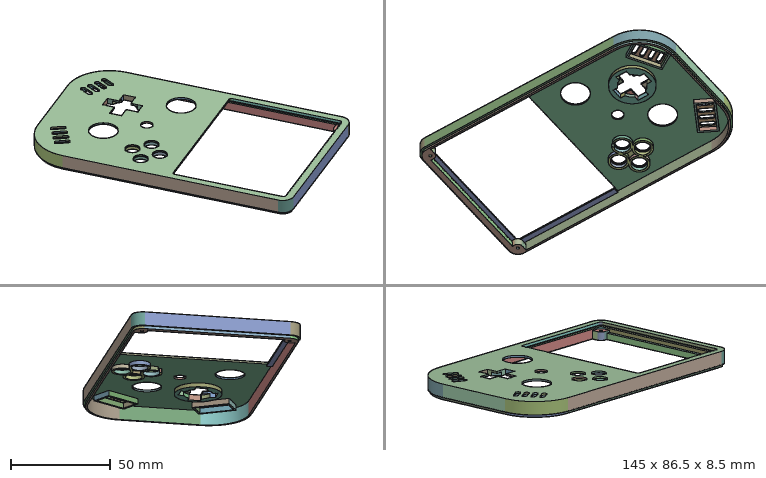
import cadquery as cq
import math

LENGTH = 145.0
WIDTH = 86.5
HEIGHT = 8.5
LEFT_RADIUS = 22.5
RIGHT_RADIUS = 6.0
WALL = 2.0
FACE_THICKNESS = 1.0
STEP_HEIGHT = 1.5
STEP_INSET = 1.0

WINDOW_LEFT = 7.7
WINDOW_MARGIN = 4.0
WINDOW_RADIUS = 1.5
LIP_DEPTH = 1.5
LIP_WIDTH = 0.9
LIP_THICKNESS = 0.7

LEDGE_HEIGHT = 3.3
BOSS_X = 67.0
BOSS_Y = 37.8
BOSS_DIAMETER = 5.2
BOSS_HOLE_DIAMETER = 1.4
BOSS_HEIGHT = 4.5

LEFT_CONTROL_X = -39.9
RIGHT_CONTROL_X = -12.5
STICK_DIAMETER = 15.0
UPPER_STICK_Y = 23.8
LOWER_STICK_Y = -13.2
SMALL_BUTTON_X = -21.6
SMALL_BUTTON_DIAMETER = 6.2
PAD_Y = 13.0
PAD_SPAN = 19.0
PAD_ARM_WIDTH = 6.4
PAD_GUIDE_BORE = 15.0
PAD_GUIDE_DIAMETER = 23.9
BUTTON_COUNT = 4
BUTTON_CENTER_Y = -24.0
BUTTON_OFFSET = 7.4
BUTTON_DIAMETER = 7.5
BUTTON_GUIDE_BORE = 8.4
BUTTON_GUIDE_DIAMETER = 10.7
GUIDE_HEIGHT = 2.0
GUIDE_NOTCH_WIDTH = 2.6
GUIDE_NOTCH_ANGLE = 45.0

SPEAKER_X = -58.5
SPEAKER_Y = 25.1
SPEAKER_ANGLE = 30.0
SLOT_COUNT = 4
SLOT_PITCH = 4.5
SLOT_LENGTH = 8.0
SLOT_WIDTH = 2.5
SPEAKER_POCKET_LENGTH = 9.0
SPEAKER_POCKET_WIDTH = 17.7
SPEAKER_FRAME_WALL = 1.0
SPEAKER_FRAME_HEIGHT = 2.8

FACE_BOTTOM = HEIGHT - FACE_THICKNESS
INNER_RIGHT = LENGTH / 2 - WALL
INNER_Y = WIDTH / 2 - WALL
WINDOW_RIGHT = LENGTH / 2 - WINDOW_MARGIN
WINDOW_Y = WIDTH / 2 - WINDOW_MARGIN
LIP_TOP = HEIGHT - LIP_DEPTH


def box(x_min, x_max, y_min, y_max, z_min, z_max):
    """Axis-aligned block between the given limits."""
    block = cq.Workplane("XY").box(x_max - x_min, y_max - y_min, z_max - z_min, centered=False)
    return block.translate((x_min, y_min, z_min))


def cylinder(x, y, diameter, z_min, z_max):
    """Upright cylinder between two heights."""
    plane = cq.Workplane("XY", origin=(x, y, z_min))
    return plane.circle(diameter / 2).extrude(z_max - z_min)


def body_block(inset, z_min, z_max):
    """Body outline moved inward by inset and extruded between two heights."""
    block = box(
        inset - LENGTH / 2, LENGTH / 2 - inset, inset - WIDTH / 2, WIDTH / 2 - inset, z_min, z_max
    )
    block = block.edges("|Z and <X").fillet(LEFT_RADIUS - inset)
    return block.edges("|Z and >X").fillet(RIGHT_RADIUS - inset)


def make_shell():
    """Hollow body with a stepped lower rim."""
    shell = body_block(0, STEP_HEIGHT, HEIGHT).union(body_block(STEP_INSET, 0, STEP_HEIGHT))
    return shell.cut(body_block(WALL, 0, FACE_BOTTOM))


def make_window():
    """Cutting block for the screen opening, down to the top of the lip."""
    window = box(WINDOW_LEFT, WINDOW_RIGHT, -WINDOW_Y, WINDOW_Y, LIP_TOP, HEIGHT)
    return window.edges("|Z").fillet(WINDOW_RADIUS)


def make_lip_strip():
    """Strip under the face that narrows the window on its right, front and back sides."""
    bottom = LIP_TOP - LIP_THICKNESS
    strip = box(WINDOW_LEFT, INNER_RIGHT, -INNER_Y, INNER_Y, bottom, FACE_BOTTOM)
    opening_y = WINDOW_Y - LIP_WIDTH
    opening = box(WINDOW_LEFT, WINDOW_RIGHT - LIP_WIDTH, -opening_y, opening_y, bottom, FACE_BOTTOM)
    return strip.cut(opening)


def make_boss(side):
    """Screw boss at the right end whose round side faces the window; side is +1 or -1 in Y."""
    radius = BOSS_DIAMETER / 2
    center_y = side * BOSS_Y
    wall_y = side * INNER_Y
    boss = cylinder(BOSS_X, center_y, BOSS_DIAMETER, 0, BOSS_HEIGHT)
    near_y, far_y = sorted((center_y, wall_y))
    boss = boss.union(box(BOSS_X - radius, INNER_RIGHT, near_y, far_y, 0, BOSS_HEIGHT))
    near_y, far_y = sorted((center_y - side * radius, wall_y))
    return boss.union(box(BOSS_X, INNER_RIGHT, near_y, far_y, 0, BOSS_HEIGHT))


def make_pad_cross(z_min):
    """Cutting block for the direction pad, from z_min up through the face."""
    half_span = PAD_SPAN / 2
    half_arm = PAD_ARM_WIDTH / 2
    cross = box(-half_span, half_span, -half_arm, half_arm, z_min, HEIGHT)
    cross = cross.union(box(-half_arm, half_arm, -half_span, half_span, z_min, HEIGHT))
    return cross.translate((LEFT_CONTROL_X, PAD_Y, 0))


def place_speaker(shape, side):
    """Turn a shape to the speaker angle and move it to the speaker on one side in Y."""
    turned = shape.rotate((0, 0, 0), (0, 0, 1), -side * SPEAKER_ANGLE)
    return turned.translate((SPEAKER_X, side * SPEAKER_Y, 0))


def make_speaker_slots():
    """Column of parallel slots through the face, centred on the origin."""
    plane = cq.Workplane("XY", origin=(0, 0, FACE_BOTTOM))
    slots = plane.rarray(1.5, SLOT_PITCH, 1, SLOT_COUNT).slot2D(SLOT_LENGTH, SLOT_WIDTH)
    return slots.extrude(FACE_THICKNESS)


def make_speaker_frame():
    """Rectangular rib under the face that surrounds one group of slots."""
    plane = cq.Workplane("XY", origin=(0, 0, FACE_BOTTOM))
    frame = plane.rect(
        SPEAKER_POCKET_LENGTH + 2 * SPEAKER_FRAME_WALL, SPEAKER_POCKET_WIDTH + 2 * SPEAKER_FRAME_WALL
    )
    frame = frame.rect(SPEAKER_POCKET_LENGTH, SPEAKER_POCKET_WIDTH)
    return frame.extrude(-SPEAKER_FRAME_HEIGHT)


def button_centers():
    """Centres of the four buttons, evenly spaced on a circle."""
    for index in range(BUTTON_COUNT):
        angle = 2 * math.pi * index / BUTTON_COUNT
        x = RIGHT_CONTROL_X + BUTTON_OFFSET * math.cos(angle)
        y = BUTTON_CENTER_Y + BUTTON_OFFSET * math.sin(angle)
        yield x, y


result = make_shell().union(make_lip_strip()).cut(make_window())
ledge = box(WINDOW_RIGHT, LENGTH / 2, -WIDTH / 2, WIDTH / 2, 0, LEDGE_HEIGHT)
cavity = body_block(WALL, 0, FACE_BOTTOM)
result = result.union(ledge.intersect(cavity))

for side in (1, -1):
    result = result.union(make_boss(side).intersect(cavity))
    result = result.cut(cylinder(BOSS_X, side * BOSS_Y, BOSS_HOLE_DIAMETER, 0, BOSS_HEIGHT))

result = result.cut(cylinder(RIGHT_CONTROL_X, UPPER_STICK_Y, STICK_DIAMETER, FACE_BOTTOM, HEIGHT))
result = result.cut(cylinder(LEFT_CONTROL_X, LOWER_STICK_Y, STICK_DIAMETER, FACE_BOTTOM, HEIGHT))
result = result.cut(cylinder(SMALL_BUTTON_X, 0, SMALL_BUTTON_DIAMETER, FACE_BOTTOM, HEIGHT))

guide_bottom = FACE_BOTTOM - GUIDE_HEIGHT
pad_guide = cylinder(LEFT_CONTROL_X, PAD_Y, PAD_GUIDE_DIAMETER, guide_bottom, FACE_BOTTOM)
pad_guide = pad_guide.cut(cylinder(LEFT_CONTROL_X, PAD_Y, PAD_GUIDE_BORE, guide_bottom, FACE_BOTTOM))
result = result.union(pad_guide)
result = result.cut(make_pad_cross(guide_bottom))

for x, y in button_centers():
    result = result.union(cylinder(x, y, BUTTON_GUIDE_DIAMETER, guide_bottom, FACE_BOTTOM))
for x, y in button_centers():
    result = result.cut(cylinder(x, y, BUTTON_GUIDE_BORE, guide_bottom, FACE_BOTTOM))
    result = result.cut(cylinder(x, y, BUTTON_DIAMETER, FACE_BOTTOM, HEIGHT))

notch = box(
    0, BUTTON_GUIDE_DIAMETER / 2, -GUIDE_NOTCH_WIDTH / 2, GUIDE_NOTCH_WIDTH / 2, guide_bottom, FACE_BOTTOM
)
notch = notch.rotate((0, 0, 0), (0, 0, 1), GUIDE_NOTCH_ANGLE)
result = result.cut(notch.translate((RIGHT_CONTROL_X, BUTTON_CENTER_Y + BUTTON_OFFSET, 0)))

for side in (1, -1):
    result = result.union(place_speaker(make_speaker_frame(), side).intersect(cavity))
    result = result.cut(place_speaker(make_speaker_slots(), side))